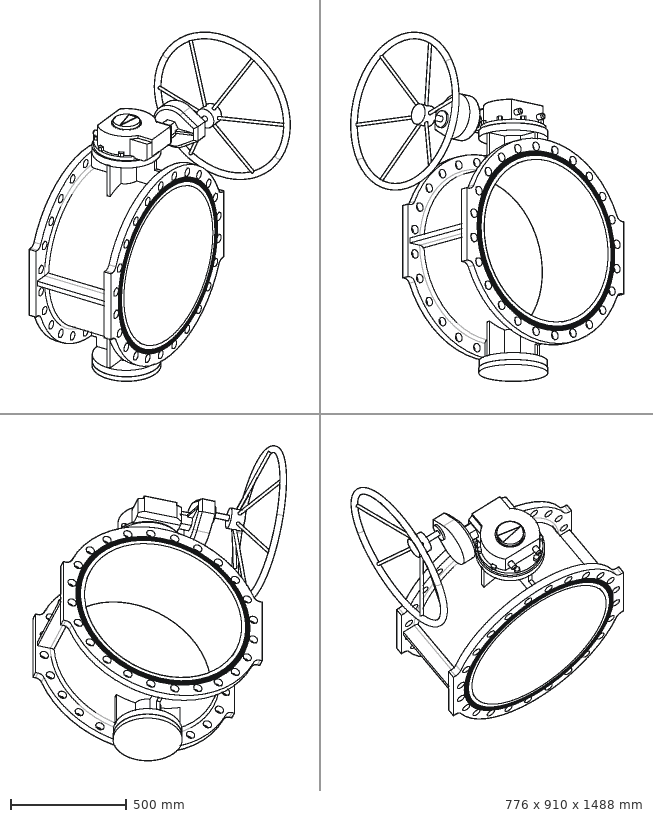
import cadquery as cq
import math


bore_dia = 718.0
tube_radius = 375.0
flange_radius = 454.0
flange_outer_x = 211.0
flange_inner_x = 175.0
flange_thickness = flange_outer_x - flange_inner_x
tube_fillet = 13.0
raised_face_dia = 795.0
raised_face_x = 215.0
raised_face_height = raised_face_x - flange_outer_x

groove_count = 4
groove_first_radius = 378.0
groove_pitch = 5.2
groove_width = 2.2
groove_depth = 1.0

foot_y = 455.0
foot_half_height = 162.0
foot_fillet = 30.0

hole_count = 24
hole_dia = 37.0
hole_circle_radius = 418.0

side_rib_y = 445.0
side_rib_thickness = 22.0
side_rib_fillet = 12.0

neck_dia = 116.0
web_thickness = 16.0
web_half_x = 150.0
web_half_y = 146.0
neck_end_z = 498.0

bottom_cover_end_z = 552.0
bottom_cover_split_z = 530.0
cover_dia = 300.0
cover_step_dia = 297.0

gear_plate_dia = 285.0
gear_flange_top_z = 531.0
gear_plate_top_z = 549.0
housing_radius = 130.0
housing_flat_x = -92.0
housing_top_z = 643.0
box_end_x = 180.0
box_half_y = 100.0
box_bottom_z = 541.0
box_lip_half_y = 75.0
box_lip_height = 13.0
box_corner_x = 10.0
box_end_bevel_x = 25.0
box_end_bevel_z = 16.0

indicator_dia = 116.0
indicator_top_z = 653.0
indicator_groove_dia = 130.0
indicator_groove_depth = 5.0
arrow_half_width = 21.0
arrow_half_length = 54.0
arrow_depth = 3.0

plate_bolt_count = 8
plate_bolt_circle_radius = 134.0
bolt_head_dia = 25.0
bolt_head_height = 16.0
stop_screw_y = 65.0
stop_screw_end_x = -126.0
stop_screw_chamfer = 6.0

drive_z = 588.0
worm_x = 134.0
case_radius = 100.0
case_end_x = 263.0
case_end_half_height = 35.0
case_front_y = 150.0
case_back_y = 222.0
case_chamfer = 13.0
hex_neck_dia = 79.0
case_web_thickness = 10.0

wheel_x = 213.0
rim_radius = 333.0
rim_dia = 30.0
rim_y = foot_y - rim_dia / 2
shaft_dia = 25.0
collar_dia = 75.0
collar_end_y = 230.0
hub_dia = 90.0
hub_start_y = 300.0
hub_end_y = 363.0
spoke_count = 6
spoke_dia = 15.0
spoke_start_y = 320.0


def disc_x(dia, x_start, length):
    return cq.Workplane("YZ", origin=(x_start, 0, 0)).circle(dia / 2).extrude(length)


def disc_z(dia, z_start, z_end):
    return cq.Workplane("XY", origin=(0, 0, z_start)).circle(dia / 2).extrude(z_end - z_start)


def disc_y(dia, x, y_start, y_end):
    plane = cq.Workplane("XZ", origin=(x, y_start, drive_z))
    return plane.circle(dia / 2).extrude(y_start - y_end)


def block(x_range, y_range, z_range):
    size = [high - low for low, high in (x_range, y_range, z_range)]
    corner = (x_range[0], y_range[0], z_range[0])
    return cq.Workplane("XY").box(*size, centered=False).translate(corner)


def make_flange(x_start):
    """Round flange with filleted flat-sided feet at +Y and -Y."""
    flange = disc_x(2 * flange_radius, x_start, flange_thickness)
    feet = block(
        (x_start, x_start + flange_thickness),
        (-foot_y, foot_y),
        (-foot_half_height, foot_half_height),
    )
    corner_y = math.sqrt(flange_radius**2 - foot_half_height**2)
    corner_boxes = cq.selectors.BoxSelector(
        (x_start - 15, -corner_y - 1.0, -foot_half_height - 1.0),
        (x_start + flange_thickness + 15, corner_y + 1.0, foot_half_height + 1.0),
    )
    return flange.union(feet).edges("|X").edges(corner_boxes).fillet(foot_fillet)


def make_tube():
    """Plain tube that flares into both flanges with a root fillet."""
    flare_x = flange_inner_x - tube_fillet
    flare_radius = tube_radius + tube_fillet
    mid = tube_fillet * (1 - math.sqrt(0.5))
    profile = (
        cq.Workplane("XY")
        .moveTo(-flange_inner_x, 0)
        .lineTo(-flange_inner_x, flare_radius)
        .threePointArc((mid - flange_inner_x, tube_radius + mid), (-flare_x, tube_radius))
        .lineTo(flare_x, tube_radius)
        .threePointArc((flange_inner_x - mid, tube_radius + mid), (flange_inner_x, flare_radius))
        .lineTo(flange_inner_x, 0)
        .close()
    )
    return profile.revolve(360, (0, 0, 0), (1, 0, 0))


def make_side_rib(side):
    """Rib along the bore with concave fillets at its root."""
    half = side_rib_thickness / 2
    root_y = tube_radius - 7.0
    fillet_y = tube_radius + side_rib_fillet
    wide = half + side_rib_fillet
    mid = side_rib_fillet * (1 - math.sqrt(0.5))
    profile = (
        cq.Workplane("YZ", origin=(-flange_inner_x, 0, 0))
        .moveTo(side * root_y, -wide)
        .lineTo(side * tube_radius, -wide)
        .threePointArc((side * (tube_radius + mid), -half - mid), (side * fillet_y, -half))
        .lineTo(side * side_rib_y, -half)
        .lineTo(side * side_rib_y, half)
        .lineTo(side * fillet_y, half)
        .threePointArc((side * (tube_radius + mid), half + mid), (side * tube_radius, wide))
        .lineTo(side * root_y, wide)
        .close()
    )
    return profile.extrude(2 * flange_inner_x)


def make_necks():
    """Upper and lower stem necks, each stiffened by two crossed webs."""
    half_web = web_thickness / 2
    necks = disc_z(neck_dia, -neck_end_z, neck_end_z)
    necks = necks.union(
        block((-web_half_x, web_half_x), (-half_web, half_web), (-neck_end_z, neck_end_z))
    )
    necks = necks.union(
        block((-flange_inner_x, flange_inner_x), (-half_web, half_web), (-flange_radius, flange_radius))
    )
    return necks.union(
        block((-half_web, half_web), (-web_half_y, web_half_y), (-neck_end_z, neck_end_z))
    )


def make_groove(x_start, inner_radius):
    ring = cq.Workplane("YZ", origin=(x_start, 0, 0)).circle(inner_radius + groove_width)
    return ring.circle(inner_radius).extrude(groove_depth)


def make_body():
    body = make_tube().union(make_necks())
    for flange_x in (-flange_outer_x, flange_inner_x):
        body = body.union(make_flange(flange_x))
    for side in (-1, 1):
        body = body.union(make_side_rib(side))
    for face_x in (-raised_face_x, flange_outer_x):
        body = body.union(disc_x(raised_face_dia, face_x, raised_face_height))
    body = body.union(disc_z(cover_step_dia, -bottom_cover_split_z, -neck_end_z))
    body = body.union(disc_z(cover_dia, -bottom_cover_end_z, -bottom_cover_split_z))

    body = body.cut(disc_x(bore_dia, -raised_face_x, 2 * raised_face_x))
    for flange_x in (-flange_outer_x, flange_inner_x):
        holes = (
            cq.Workplane("YZ", origin=(flange_x, 0, 0))
            .polarArray(hole_circle_radius, 180 / hole_count, 360, hole_count)
            .circle(hole_dia / 2)
            .extrude(flange_thickness)
        )
        body = body.cut(holes)
    for index in range(groove_count):
        radius = groove_first_radius + index * groove_pitch
        for groove_x in (-raised_face_x, raised_face_x - groove_depth):
            body = body.cut(make_groove(groove_x, radius))
    return body


def make_worm_box():
    """Box on the +X side of the housing: bevelled end, narrower lip on top."""
    shoulder_z = housing_top_z - box_lip_height
    plan = [
        (0, -box_half_y),
        (box_end_x - box_corner_x, -box_half_y),
        (box_end_x, -box_lip_half_y),
        (box_end_x, box_lip_half_y),
        (box_end_x - box_corner_x, box_half_y),
        (0, box_half_y),
    ]
    box = cq.Workplane("XY", origin=(0, 0, box_bottom_z)).polyline(plan).close()
    box = box.extrude(shoulder_z - box_bottom_z)
    bevel = [
        (box_end_x, box_bottom_z),
        (box_end_x, box_bottom_z + box_end_bevel_z),
        (box_end_x - box_end_bevel_x, box_bottom_z),
    ]
    box = box.cut(cq.Workplane("XZ").polyline(bevel).close().extrude(box_half_y, both=True))
    lip = block((0, box_end_x), (-box_lip_half_y, box_lip_half_y), (shoulder_z, housing_top_z))
    return box.union(lip)


def add_indicator(gearbox):
    """Round pointer disc in a shallow ring groove, engraved with an arrow."""
    floor_z = housing_top_z - indicator_groove_depth
    gearbox = gearbox.cut(disc_z(indicator_groove_dia, floor_z, housing_top_z))
    gearbox = gearbox.union(disc_z(indicator_dia, floor_z, indicator_top_z))
    arrow = [
        (0, -arrow_half_length),
        (arrow_half_width, arrow_half_length),
        (-arrow_half_width, arrow_half_length),
    ]
    engraving = cq.Workplane("XY", origin=(0, 0, indicator_top_z)).polyline(arrow).close()
    return gearbox.cut(engraving.extrude(-arrow_depth))


def make_gearbox():
    gearbox = disc_z(cover_dia, neck_end_z, gear_flange_top_z)
    gearbox = gearbox.union(disc_z(gear_plate_dia, gear_flange_top_z, gear_plate_top_z))

    housing = disc_z(2 * housing_radius, gear_plate_top_z, housing_top_z)
    housing = housing.intersect(
        block(
            (housing_flat_x, housing_radius),
            (-housing_radius, housing_radius),
            (gear_plate_top_z, housing_top_z),
        )
    )
    gearbox = gearbox.union(housing).union(make_worm_box())
    gearbox = add_indicator(gearbox)

    bolts = (
        cq.Workplane("XY", origin=(0, 0, gear_plate_top_z))
        .polarArray(plate_bolt_circle_radius, 180 / plate_bolt_count, 360, plate_bolt_count)
        .polygon(6, bolt_head_dia)
        .extrude(bolt_head_height)
    )
    gearbox = gearbox.union(bolts)

    stop_screws = (
        cq.Workplane("YZ", origin=(housing_flat_x, 0, drive_z))
        .pushPoints([(-stop_screw_y, 0), (stop_screw_y, 0)])
        .circle(bolt_head_dia / 2)
        .extrude(stop_screw_end_x - housing_flat_x)
        .faces("<X")
        .chamfer(stop_screw_chamfer)
    )
    return gearbox.union(stop_screws)


def make_gear_case():
    """Teardrop case: a round end joined by tangent lines to a short flat end."""
    reach = case_end_x - worm_x
    distance = math.hypot(reach, case_end_half_height)
    angle = math.atan2(case_end_half_height, reach) + math.acos(case_radius / distance)
    tangent_x = case_radius * math.cos(angle)
    tangent_z = case_radius * math.sin(angle)
    case = (
        cq.Workplane("XZ", origin=(worm_x, case_front_y, drive_z))
        .moveTo(reach, -case_end_half_height)
        .lineTo(reach, case_end_half_height)
        .lineTo(tangent_x, tangent_z)
        .threePointArc((-case_radius, 0), (tangent_x, -tangent_z))
        .close()
        .extrude(case_front_y - case_back_y)
        .faces("<Y")
        .chamfer(case_chamfer)
    )

    hex_neck = cq.Workplane("XZ", origin=(worm_x, 0, drive_z)).polygon(6, hex_neck_dia)
    case = case.union(hex_neck.extrude(-case_front_y))

    web_outline = [
        (worm_x, box_lip_half_y),
        (box_end_x - box_corner_x, box_lip_half_y),
        (box_end_x - box_corner_x, 125.0),
        (case_end_x - case_chamfer, case_front_y),
        (worm_x, case_front_y),
    ]
    web = cq.Workplane("XY", origin=(0, 0, drive_z)).polyline(web_outline).close()
    return case.union(web.extrude(case_web_thickness / 2, both=True))


def make_handwheel():
    """Rim, hub, shaft and dished spokes around an axis parallel to Y."""
    wheel = disc_y(hub_dia, wheel_x, hub_start_y, hub_end_y)
    wheel = wheel.union(disc_y(shaft_dia, wheel_x, case_back_y, hub_end_y))
    wheel = wheel.union(disc_y(collar_dia, wheel_x, case_back_y, collar_end_y))

    rise = rim_y - spoke_start_y
    for index in range(spoke_count):
        angle = 2 * math.pi * index / spoke_count
        direction = (rim_radius * math.cos(angle), rise, rim_radius * math.sin(angle))
        spoke = cq.Solid.makeCylinder(
            spoke_dia / 2,
            math.hypot(rim_radius, rise),
            cq.Vector(wheel_x, spoke_start_y, drive_z),
            cq.Vector(*direction),
        )
        wheel = wheel.union(cq.Workplane(obj=spoke))

    half_rim = (
        cq.Workplane("XY")
        .center(rim_radius, rim_y)
        .circle(rim_dia / 2)
        .revolve(180, (-rim_radius, 0, 0), (-rim_radius, 1, 0))
    )
    for turn in (0, 180):
        placed = half_rim.rotate((0, 0, 0), (0, 1, 0), turn + 180 / spoke_count)
        wheel = wheel.union(placed.translate((wheel_x, 0, drive_z)), clean=False)
    return wheel


result = make_body().union(make_gearbox()).union(make_gear_case())
result = result.union(make_handwheel(), clean=False)